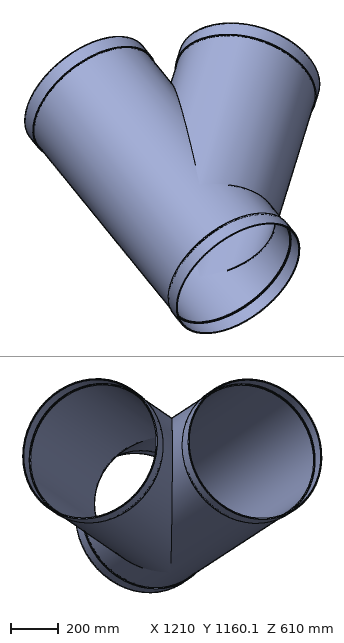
import cadquery as cq
import math

bore_diameter = 590
wall = 5
collar_length = 65
run_length = 1210
neck_length = 180
run_crossing = 905
branch_angle = 45

bore_radius = bore_diameter / 2
pipe_radius = bore_radius + wall
collar_radius = pipe_radius + wall
taper_length = wall
socket_depth = collar_length - taper_length
crossing_to_crotch = pipe_radius / math.tan(math.radians(branch_angle / 2))
branch_length = crossing_to_crotch + neck_length
crossing_to_run_end = run_length - run_crossing

run_direction = cq.Vector(1, 0, 0)
branch_direction = cq.Vector(
    -math.cos(math.radians(branch_angle)),
    math.sin(math.radians(branch_angle)),
    0,
)
crossing = cq.Vector(0, 0, 0)
run_start = crossing - run_direction * run_crossing
run_end = crossing + run_direction * crossing_to_run_end
branch_mouth = crossing + branch_direction * branch_length


def cylinder(radius, start, direction, length):
    """Solid cylinder from a start point along a direction."""
    return cq.Workplane(cq.Solid.makeCylinder(radius, length, start, direction))


def add_collar(body, mouth, inward):
    """Thicken the pipe outside over the collar length behind an open mouth."""
    return body.union(cylinder(collar_radius, mouth, inward, collar_length))


def cut_socket(body, mouth, inward):
    """Widen the bore inside a collar, tapering back to the bore at the collar's inner end."""
    taper_start = mouth + inward * socket_depth
    taper = cq.Solid.makeCone(pipe_radius, bore_radius, taper_length, taper_start, inward)
    return body.cut(cylinder(pipe_radius, mouth, inward, socket_depth)).cut(cq.Workplane(taper))


mouths = [
    (run_start, run_direction),
    (run_end, -run_direction),
    (branch_mouth, -branch_direction),
]

result = cylinder(pipe_radius, run_start, run_direction, run_length)
result = result.union(cylinder(pipe_radius, crossing, branch_direction, branch_length))
for mouth, inward in mouths:
    result = add_collar(result, mouth, inward)

result = result.cut(cylinder(bore_radius, run_start, run_direction, run_length))
result = result.cut(cylinder(bore_radius, crossing, branch_direction, branch_length))

for mouth, inward in mouths:
    result = cut_socket(result, mouth, inward)